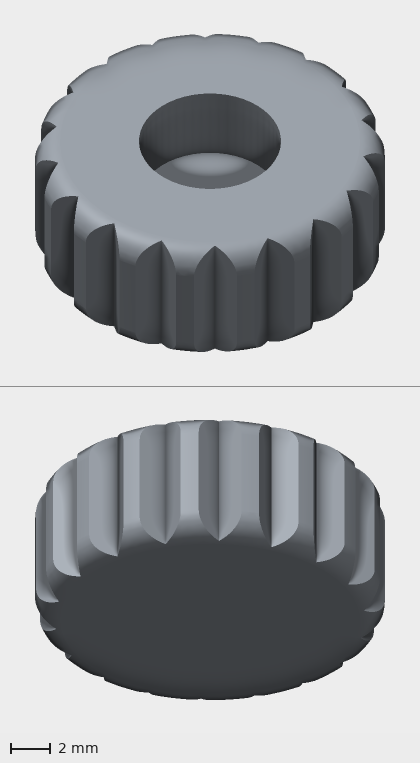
import cadquery as cq
import math

outer_diameter = 17.5
height = 7.0
rim_fillet = 1.25

bore_diameter = 7.1
bore_depth = 4.0

groove_count = 18
groove_root_radius = 7.75
groove_angle = 98.0
groove_pitch = 360.0 / groove_count
cutter_outer_radius = outer_diameter / 2 + 0.35


def make_body():
    return (
        cq.Workplane("XY")
        .circle(outer_diameter / 2)
        .extrude(height)
        .edges()
        .fillet(rim_fillet)
    )


def make_groove_cutter(direction):
    cutter_depth = cutter_outer_radius - groove_root_radius
    half_width = cutter_depth * math.tan(math.radians(groove_angle / 2))
    return (
        cq.Workplane("XY")
        .moveTo(groove_root_radius, 0)
        .lineTo(cutter_outer_radius, -half_width)
        .lineTo(cutter_outer_radius, half_width)
        .close()
        .extrude(height)
        .rotate((0, 0, 0), (0, 0, 1), direction)
    )


def make_bore():
    return (
        cq.Workplane("XY")
        .workplane(offset=height - bore_depth)
        .circle(bore_diameter / 2)
        .extrude(bore_depth)
    )


result = make_body()
for index in range(groove_count):
    result = result.cut(make_groove_cutter((index + 0.5) * groove_pitch))
result = result.cut(make_bore())